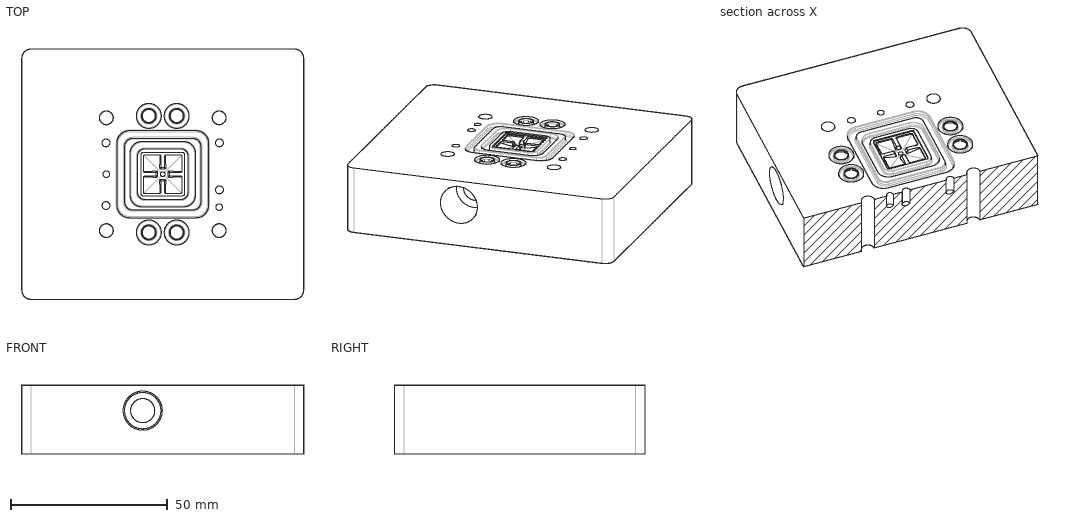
import cadquery as cq
import math

LENGTH = 90.0
WIDTH = 80.0
HEIGHT = 22.0
CORNER_RADIUS = 3.0

GROOVE_DEPTH = 1.5
OUTER_GROOVE_EDGE_RADIUS = 0.2
INNER_GROOVE_EDGE_RADIUS = 0.1
OUTER_GROOVE_HALF_X = 14.65
OUTER_GROOVE_HALF_Y = 13.9
OUTER_GROOVE_WIDTH = 2.5
OUTER_GROOVE_CORNER = 4.0
OUTER_ISLAND_CORNER = 2.5
OUTER_GROOVE_FLOOR_RADIUS = 0.4
INNER_GROOVE_HALF = 10.4
INNER_GROOVE_WIDTH = 2.3
INNER_GROOVE_CORNER = 3.6
INNER_ISLAND_CORNER = 2.4
INNER_GROOVE_FLOOR_RADIUS = 0.3

RECESS_HALF = 6.9
RECESS_DEPTH = 0.4
RECESS_CORNER = 0.5
POCKET_HALF = 6.2
POCKET_WALL = 0.4
POCKET_CORNER = 0.5
FLOOR_FALL = 1.0
RIB_TOP_WIDTH = 1.2
RIB_INNER_END = 2.15
RIB_DRAFT = 22.0
DRAIN_DIAMETER = 1.5
DRAIN_DEPTH = 4.0

BOLT_SPACING = 36.0
BOLT_DIAMETER = 4.3

DRILL_TIP_ANGLE = 118.0
SCREW_DIAMETER = 2.5
SCREW_DEPTH = 6.0
SCREW_POSITIONS = [(-18.1, 10.0), (-18.1, -10.0), (18.1, 10.0), (18.1, -5.0)]
PIN_DIAMETER = 2.1
PIN_DEPTH = 5.0
PIN_POSITIONS = [(-18.0, 0.0), (18.0, -10.5)]

PORT_X = 4.45
PORT_Y = 18.6
PORT_DIAMETER = 4.2
RING_OUTER_DIAMETER = 8.0
RING_INNER_DIAMETER = 4.7
RING_DEPTH = 1.0
RING_FLOOR_RADIUS = 0.25

BORE_X = 6.4
BORE_AXIS_DEPTH = 8.1
BORE_DIAMETER = 7.7
BORE_END_Y = PORT_Y + PORT_DIAMETER / 2
MOUTH_DIAMETER = 12.5
MOUTH_ROOT_DIAMETER = 11.6
MOUTH_DEPTH = 14.0


def rounded_prism(half_x, half_y, depth, corner):
    """Upright block with rounded corners, hanging down from z = 0."""
    return cq.Workplane("XY").rect(2 * half_x, 2 * half_y).extrude(-depth).edges("|Z").fillet(corner)


def revolved(points, plane):
    """Solid turned about the vertical axis of the plane."""
    return cq.Workplane(plane).polyline(points).close().revolve(360, (0, 0, 0), (0, 1, 0))


def tip_length(radius):
    """Height of the drill-tip cone over the given radius."""
    return radius / math.tan(math.radians(DRILL_TIP_ANGLE / 2))


def cut_seal_groove(
    block, half_x, half_y, width, outer_corner, island_corner, floor_radius, edge_radius
):
    """Cut a groove into the top face, then round over its two top edges."""
    outside = rounded_prism(half_x, half_y, GROOVE_DEPTH, outer_corner)
    island = rounded_prism(half_x - width, half_y - width, GROOVE_DEPTH, island_corner)
    groove = outside.cut(island).faces("<Z").edges().fillet(floor_radius)
    reach_x = half_x + edge_radius
    reach_y = half_y + edge_radius
    around_groove = cq.selectors.BoxSelector(
        (-reach_x, -reach_y, -edge_radius), (reach_x, reach_y, edge_radius)
    )
    return block.cut(groove).edges(around_groove).fillet(edge_radius)


def drilled_hole(diameter, depth):
    radius = diameter / 2
    profile = [(0, 0), (radius, 0), (radius, -depth), (0, -depth - tip_length(radius))]
    return revolved(profile, "XZ")


def sloped_floor():
    """Upside-down pyramid below the straight wall of the pocket."""
    rim = [(-POCKET_HALF, 0), (POCKET_HALF, 0), (0, -FLOOR_FALL)]
    along_y = cq.Workplane("XZ").polyline(rim).close().extrude(POCKET_HALF, both=True)
    along_x = cq.Workplane("YZ").polyline(rim).close().extrude(POCKET_HALF, both=True)
    return along_x.intersect(along_y).translate((0, 0, -POCKET_WALL))


def is_wall_corner(edge):
    """True for the upright edges where the pocket wall meets itself or a rib."""
    ends = [edge.startPoint(), edge.endPoint()]
    on_wall = all(math.isclose(max(abs(p.x), abs(p.y)), POCKET_HALF, abs_tol=1e-4) for p in ends)
    return on_wall and not math.isclose(ends[0].z, ends[1].z, abs_tol=1e-4)


def ribbed_pocket():
    pocket = cq.Workplane("XY").rect(2 * POCKET_HALF, 2 * POCKET_HALF).extrude(-POCKET_WALL)
    pocket = pocket.union(sloped_floor())
    rib = (
        cq.Workplane("XY")
        .center(RIB_INNER_END + POCKET_HALF, 0)
        .rect(2 * POCKET_HALF, RIB_TOP_WIDTH)
        .extrude(-POCKET_WALL - FLOOR_FALL, taper=-RIB_DRAFT)
    )
    for turn in range(4):
        pocket = pocket.cut(rib.rotate((0, 0, 0), (0, 0, 1), 90 * turn))
    return pocket.edges().filter(is_wall_corner).fillet(POCKET_CORNER)


def cell():
    recess = rounded_prism(RECESS_HALF, RECESS_HALF, RECESS_DEPTH, RECESS_CORNER)
    pocket = ribbed_pocket().translate((0, 0, -RECESS_DEPTH))
    return recess.union(pocket).union(drilled_hole(DRAIN_DIAMETER, DRAIN_DEPTH))


def port():
    hole = cq.Workplane("XY").circle(PORT_DIAMETER / 2).extrude(-BORE_AXIS_DEPTH)
    ring = (
        cq.Workplane("XY")
        .circle(RING_OUTER_DIAMETER / 2)
        .circle(RING_INNER_DIAMETER / 2)
        .extrude(-RING_DEPTH)
        .faces("<Z").edges().fillet(RING_FLOOR_RADIUS)
    )
    return hole.union(ring)


def feed_bore():
    """Bore entering the front face, left of centre, and ending past the far port."""
    face = -WIDTH / 2
    radius = BORE_DIAMETER / 2
    mouth_root = MOUTH_ROOT_DIAMETER / 2
    mouth_end = face + MOUTH_DEPTH
    profile = [
        (0, face),
        (MOUTH_DIAMETER / 2, face),
        (mouth_root, mouth_end),
        (radius, mouth_end + tip_length(mouth_root - radius)),
        (radius, BORE_END_Y),
        (0, BORE_END_Y + tip_length(radius)),
    ]
    return revolved(profile, "XY").translate((-BORE_X, 0, -BORE_AXIS_DEPTH))


def bolt_holes():
    return (
        cq.Workplane("XY")
        .rect(BOLT_SPACING, BOLT_SPACING, forConstruction=True)
        .vertices()
        .circle(BOLT_DIAMETER / 2)
        .extrude(-HEIGHT)
    )


body = rounded_prism(LENGTH / 2, WIDTH / 2, HEIGHT, CORNER_RADIUS)
body = cut_seal_groove(
    body,
    OUTER_GROOVE_HALF_X,
    OUTER_GROOVE_HALF_Y,
    OUTER_GROOVE_WIDTH,
    OUTER_GROOVE_CORNER,
    OUTER_ISLAND_CORNER,
    OUTER_GROOVE_FLOOR_RADIUS,
    OUTER_GROOVE_EDGE_RADIUS,
)
body = cut_seal_groove(
    body,
    INNER_GROOVE_HALF,
    INNER_GROOVE_HALF,
    INNER_GROOVE_WIDTH,
    INNER_GROOVE_CORNER,
    INNER_ISLAND_CORNER,
    INNER_GROOVE_FLOOR_RADIUS,
    INNER_GROOVE_EDGE_RADIUS,
)
body = body.cut(cell())
body = body.cut(bolt_holes())

for x, y in SCREW_POSITIONS:
    body = body.cut(drilled_hole(SCREW_DIAMETER, SCREW_DEPTH).translate((x, y, 0)))
for x, y in PIN_POSITIONS:
    body = body.cut(drilled_hole(PIN_DIAMETER, PIN_DEPTH).translate((x, y, 0)))

for x in (-PORT_X, PORT_X):
    for y in (-PORT_Y, PORT_Y):
        body = body.cut(port().translate((x, y, 0)))
for turn in (0, 180):
    body = body.cut(feed_bore().rotate((0, 0, 0), (0, 0, 1), turn))

result = body